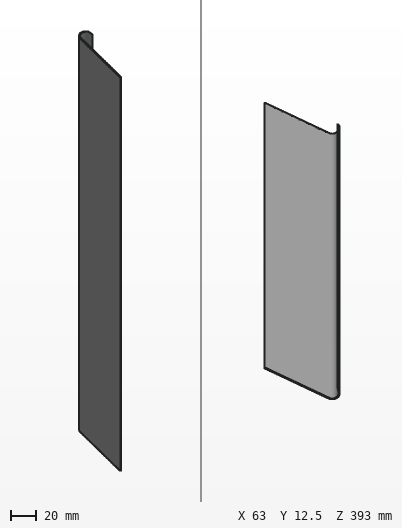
import cadquery as cq
import math

width = 63.0
depth = 12.5
length = 393.0
thickness = 1.0

bend_radius = 6.0
inner_radius = bend_radius - thickness
lip_angle = math.radians(45)
lip_corner_height = 2.8


def bend_point(radius, angle):
    """Point on the bend; zero points to -X and positive angles turn to +Y."""
    return (
        bend_radius - radius * math.cos(angle),
        bend_radius + radius * math.sin(angle),
    )


lip_start = bend_point(bend_radius, lip_angle)
lip_rise = depth - lip_start[1]
lip_length = lip_rise / math.cos(lip_angle)


def along_lip(point):
    """Move a point from the end of the bend to the free edge of the lip."""
    return (
        point[0] + lip_length * math.sin(lip_angle),
        point[1] + lip_length * math.cos(lip_angle),
    )


inner_lip_start = bend_point(inner_radius, lip_angle)

strip = (
    cq.Workplane("XY")
    .moveTo(width, 0)
    .lineTo(bend_radius, 0)
    .threePointArc(bend_point(bend_radius, -math.pi / 4), (0, bend_radius))
    .threePointArc(bend_point(bend_radius, lip_angle / 2), lip_start)
    .lineTo(*along_lip(lip_start))
    .lineTo(*along_lip(inner_lip_start))
    .lineTo(*inner_lip_start)
    .threePointArc(bend_point(inner_radius, 0), (bend_radius, thickness))
    .lineTo(width, thickness)
    .close()
    .extrude(length)
)


def lip_corner(end_z, inward):
    """Triangular cutter that bevels the lip at one end of the strip."""
    return (
        cq.Workplane("YZ")
        .moveTo(lip_start[1], end_z)
        .lineTo(depth, end_z + inward * lip_corner_height)
        .lineTo(depth, end_z)
        .close()
        .extrude(width)
    )


result = strip.cut(lip_corner(0, 1)).cut(lip_corner(length, -1))